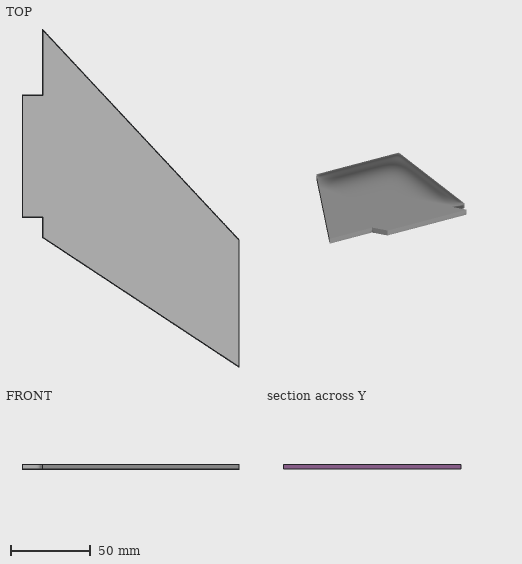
import cadquery as cq

width = 135.7
length = 211.5
thickness = 3.2

tab_depth = 12.7
tab_length = 76.5

lower_shoulder = 12.7
left_edge_start = 81.2
right_edge_length = 79.7

tab_start = left_edge_start + lower_shoulder
tab_end = tab_start + tab_length

outline = [
    (width, 0),
    (width, right_edge_length),
    (tab_depth, length),
    (tab_depth, tab_end),
    (0, tab_end),
    (0, tab_start),
    (tab_depth, tab_start),
    (tab_depth, left_edge_start),
]

result = cq.Workplane("XY").polyline(outline).close().extrude(thickness)